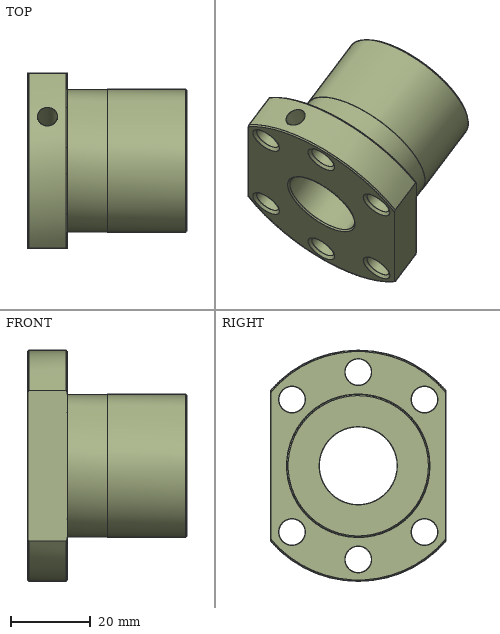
import cadquery as cq
import math

total_length = 40.0
flange_diameter = 58.0
flange_width = 44.0
flange_thickness = 10.0
flange_chamfer = 0.35

body_diameter = 36.0
neck_diameter = 35.85
neck_end = 20.0
body_chamfer = 0.4

bore_diameter = 19.5
bore_chamfer = 0.4

mount_circle_diameter = 47.0
mount_hole_diameter = 6.6
mount_hole_chamfer = 0.7
mount_spacing_angle = 45.0

oil_hole_diameter = 5.0
oil_hole_angle = mount_spacing_angle / 2
oil_hole_x = flange_thickness / 2


def cylinder(diameter, start, end):
    """Solid cylinder on the X axis between two X positions."""
    return cq.Workplane("YZ", origin=(start, 0, 0)).circle(diameter / 2).extrude(end - start)


def make_flange():
    """Chamfered disc trimmed by two flats to the flange width."""
    disc = cylinder(flange_diameter, 0, flange_thickness).edges().chamfer(flange_chamfer)
    trim = cq.Workplane("XY").box(2 * flange_thickness, flange_width, flange_diameter)
    return disc.intersect(trim)


def make_body():
    """Relieved neck behind the flange and the chamfered main cylinder."""
    neck = cylinder(neck_diameter, 0, neck_end)
    main = cylinder(body_diameter, neck_end, total_length).faces(">X").edges().chamfer(body_chamfer)
    return neck.union(main)


def chamfered_hole(diameter, chamfer, depth):
    """Cutter for a hole along X with a 45 degree chamfer at X = 0."""
    radius = diameter / 2
    profile = [
        (0, 0),
        (0, radius + chamfer),
        (chamfer, radius),
        (depth, radius),
        (depth, 0),
    ]
    return cq.Workplane("XY").polyline(profile).close().revolve(360, (0, 0, 0), (1, 0, 0))


def cut_mounting_holes(part):
    """Cut the two opposite groups of three mounting holes."""
    cutter = chamfered_hole(mount_hole_diameter, mount_hole_chamfer, flange_thickness)
    mount_radius = mount_circle_diameter / 2
    for group_angle in (0, 180):
        for step in (-1, 0, 1):
            angle = math.radians(group_angle + step * mount_spacing_angle)
            y = mount_radius * math.sin(angle)
            z = mount_radius * math.cos(angle)
            part = part.cut(cutter.translate((0, y, z)))
    return part


def cut_oil_hole(part):
    """Cut the radial hole from the flange rim into the bore, tilted from +Z toward +Y."""
    angle = math.radians(oil_hole_angle)
    direction = cq.Vector(0, math.sin(angle), math.cos(angle))
    start = cq.Vector(oil_hole_x, 0, 0)
    cutter = cq.Solid.makeCylinder(oil_hole_diameter / 2, flange_diameter, start, direction)
    return part.cut(cq.Workplane(cutter))


result = make_flange().union(make_body())
result = result.cut(chamfered_hole(bore_diameter, bore_chamfer, total_length))
result = cut_mounting_holes(result)
result = cut_oil_hole(result)